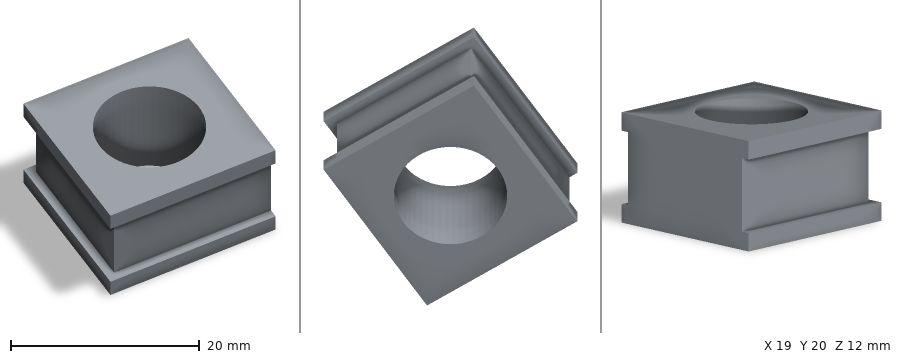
import cadquery as cq

width = 19.0
depth = 20.0
height = 12.0

flange_thickness = 2.0
groove_depth = 1.0
bore_diameter = 12.0

core_width = width - 2 * groove_depth
core_depth = depth - groove_depth
core_height = height - 2 * flange_thickness
core_center_y = groove_depth / 2


def flange(bottom_z):
    """Rectangular end plate with its underside at bottom_z."""
    return cq.Workplane("XY", origin=(0, 0, bottom_z)).rect(width, depth).extrude(flange_thickness)


core = (
    cq.Workplane("XY", origin=(0, core_center_y, flange_thickness))
    .rect(core_width, core_depth)
    .extrude(core_height)
)
bore = cq.Workplane("XY").circle(bore_diameter / 2).extrude(height)

result = flange(0).union(core).union(flange(height - flange_thickness)).cut(bore)